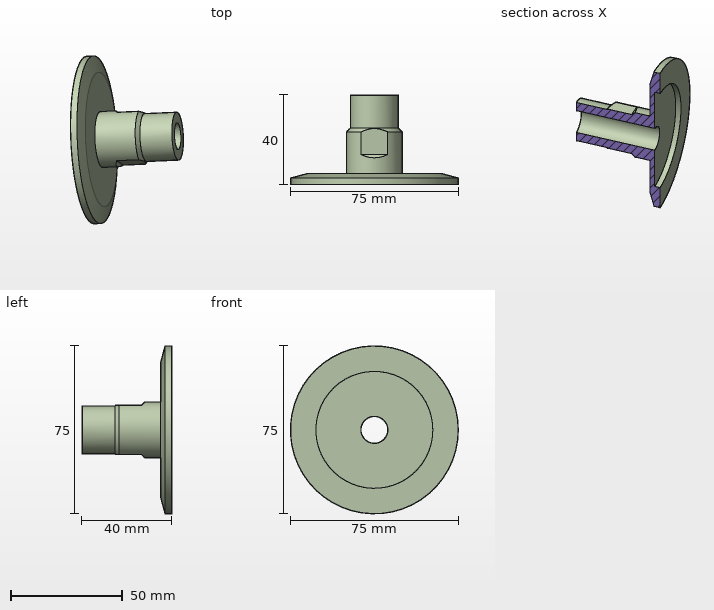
import cadquery as cq
import math

total_length = 40.0

flange_diameter = 75.0
flange_thickness = 5.0
rim_thickness = 3.0
flange_taper_angle = 15.0
recess_diameter = 52.2
recess_depth = 2.5

boss_diameter = 25.0
pipe_diameter = 21.5
pipe_start = 25.3
bore_diameter = 11.9

flats_width = 22.0
flat_start = 13.5

flange_radius = flange_diameter / 2
boss_radius = boss_diameter / 2
pipe_radius = pipe_diameter / 2
taper_length = flange_thickness - rim_thickness
taper_end_radius = flange_radius - taper_length / math.tan(math.radians(flange_taper_angle))
boss_chamfer = boss_radius - pipe_radius


def turned_body():
    """Flange, boss and pipe end as one revolve about the Y axis."""
    profile = [
        (0, 0),
        (flange_radius, 0),
        (flange_radius, rim_thickness),
        (taper_end_radius, flange_thickness),
        (boss_radius, flange_thickness),
        (boss_radius, pipe_start - boss_chamfer),
        (pipe_radius, pipe_start),
        (pipe_radius, total_length),
        (0, total_length),
    ]
    return cq.Workplane("XY").polyline(profile).close().revolve(360, (0, 0, 0), (0, 1, 0))


def front_hole(diameter, depth):
    """Cylinder reaching from the flange face (Y = 0) to the given depth."""
    return cq.Workplane("XZ").circle(diameter / 2).extrude(-depth)


def wrench_flat_cut(side):
    """Wedge cutting one flat, with a 45 degree run-out; side is +1 or -1 in Z."""
    flat_height = flats_width / 2
    runout = boss_radius - flat_height
    outline = [
        (flat_start, side * flat_height),
        (pipe_start, side * flat_height),
        (pipe_start, side * boss_radius),
        (flat_start - runout, side * boss_radius),
    ]
    return cq.Workplane("YZ").polyline(outline).close().extrude(boss_radius, both=True)


result = turned_body()
result = result.cut(front_hole(recess_diameter, recess_depth))
result = result.cut(front_hole(bore_diameter, total_length))
for side in (1, -1):
    result = result.cut(wrench_flat_cut(side))